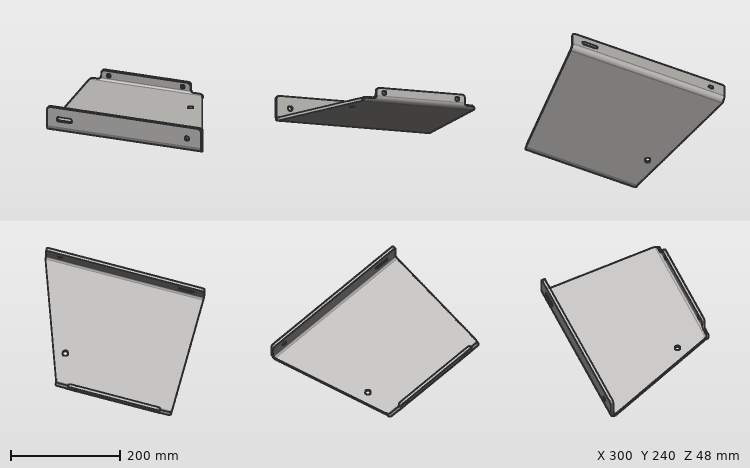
import cadquery as cq
import math

length = 300.0
depth = 240.0
front_height = 48.0
rear_height = 25.0
rear_length = 220.0
thickness = 6.0
inner_bend = 4.0
outer_bend = inner_bend + thickness
corner_radius = 6.0

tab_inset = 21.0
tab_length = 174.0
shoulder_angle = math.radians(55)
tab_hole_inset = 15.0
tab_hole_height = 16.0
tab_hole_diameter = 7.8

base_hole_x = 217.5
base_hole_y = 174.0
base_hole_diameter = 10.2
flange_hole_x = 273.0
flange_hole_height = 25.8
flange_hole_diameter = 9.0
slot_start = 19.0
slot_length = 30.0

margin = 30.0


def bent_sheet():
    """Extruded U section with an unequal pair of flanges."""
    diagonal = math.sqrt(0.5)
    outer_mid = outer_bend * (1 - diagonal)
    inner_mid = outer_bend - inner_bend * diagonal
    return (
        cq.Workplane("YZ")
        .moveTo(0, front_height)
        .lineTo(0, outer_bend)
        .threePointArc((outer_mid, outer_mid), (outer_bend, 0))
        .lineTo(depth - outer_bend, 0)
        .threePointArc((depth - outer_mid, outer_mid), (depth, outer_bend))
        .lineTo(depth, rear_height)
        .lineTo(depth - thickness, rear_height)
        .lineTo(depth - thickness, outer_bend)
        .threePointArc((depth - inner_mid, inner_mid), (depth - outer_bend, thickness))
        .lineTo(outer_bend, thickness)
        .threePointArc((inner_mid, inner_mid), (thickness, outer_bend))
        .lineTo(thickness, front_height)
        .close()
        .extrude(length)
    )


def plan_outline():
    """Plan shape: one sloping side between the two bend lines."""
    return (
        cq.Workplane("XY")
        .polyline([
            (0, 0),
            (length, 0),
            (length, outer_bend),
            (rear_length, depth - outer_bend),
            (rear_length, depth),
            (0, depth),
        ])
        .close()
        .extrude(front_height)
    )


def shoulder_cut(end_inset):
    """Clear end_inset of the rear flange, measured from X = 0, and round the shoulder corner.

    The sketch plane contains X and the bend tangent; its normal is radial.
    """
    plane = cq.Plane(
        origin=(0, depth - outer_bend, outer_bend),
        xDir=(1, 0, 0),
        normal=(0, -math.sin(shoulder_angle), math.cos(shoulder_angle)),
    )
    r = corner_radius
    arc_mid = r * (1 - math.sqrt(0.5))
    notch = (
        cq.Workplane(plane)
        .moveTo(-margin, 0)
        .lineTo(end_inset - r, 0)
        .threePointArc((end_inset - arc_mid, arc_mid), (end_inset, r))
        .lineTo(end_inset, margin)
        .lineTo(-margin, margin)
        .close()
        .extrude(margin, both=True)
    )
    corner = (
        cq.Workplane(plane)
        .moveTo(0, -r)
        .threePointArc((arc_mid, -arc_mid), (r, 0))
        .lineTo(0, 0)
        .close()
        .extrude(-margin)
    )
    return notch.union(corner)


def y_hole(x, z, diameter, y_start, y_length):
    """Cylinder along +Y for drilling a flange."""
    drill = cq.Solid.makeCylinder(diameter / 2, y_length, cq.Vector(x, y_start, z), cq.Vector(0, 1, 0))
    return cq.Workplane(drill)


result = bent_sheet().intersect(plan_outline())

left_cut = shoulder_cut(tab_inset)
right_inset = rear_length - tab_inset - tab_length
right_cut = shoulder_cut(right_inset).mirror("YZ").translate((rear_length, 0, 0))
result = result.cut(left_cut).cut(right_cut)

for height in (front_height, rear_height):
    top_face = result.faces("+Z").faces(
        cq.selectors.BoxSelector(
            (0, 0, height - thickness / 2),
            (length, depth, height + thickness / 2),
        )
    )
    result = top_face.edges("|Y").fillet(corner_radius)

result = result.cut(
    cq.Workplane("XY").center(base_hole_x, base_hole_y).circle(base_hole_diameter / 2).extrude(thickness)
)

result = result.cut(y_hole(flange_hole_x, flange_hole_height, flange_hole_diameter, 0, thickness))
slot = (
    cq.Workplane("XZ")
    .center(slot_start + slot_length / 2, flange_hole_height)
    .slot2D(slot_length, flange_hole_diameter)
    .extrude(-thickness)
)
result = result.cut(slot)

for x in (tab_inset + tab_hole_inset, tab_inset + tab_length - tab_hole_inset):
    result = result.cut(y_hole(x, tab_hole_height, tab_hole_diameter, depth - thickness, thickness))